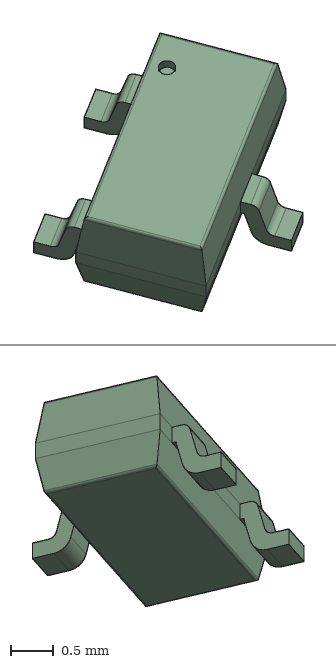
import cadquery as cq
import math

housing_length = 3.0
housing_width = 1.6
housing_bottom = 0.05
housing_top = 1.3
taper_inset = 0.08
rim_radius = 0.035

lead_span = 2.85
lead_thickness = 0.21
lead_width = 0.43
lead_pitch = 0.95
shoulder_top = 0.705
shoulder_length = 0.207
lean_angle = 15.0
bend_radius = 0.105
heel_radius = 0.225

mark_diameter = 0.2
mark_depth = 0.125
mark_x = -0.48
mark_y = lead_pitch

band_top = shoulder_top
band_bottom = shoulder_top - lead_thickness


def tapered_block(base_z, end_z):
    """Frustum from the band outline at base_z to the inset face at end_z."""
    return (
        cq.Workplane("XY", origin=(0, 0, base_z))
        .rect(housing_width, housing_length)
        .workplane(offset=end_z - base_z)
        .rect(housing_width - 2 * taper_inset, housing_length - 2 * taper_inset)
        .loft(ruled=True)
    )


def make_housing():
    band = (
        cq.Workplane("XY", origin=(0, 0, band_bottom))
        .rect(housing_width, housing_length)
        .extrude(lead_thickness)
    )
    body = band.union(tapered_block(band_top, housing_top))
    body = body.union(tapered_block(band_bottom, housing_bottom))
    body = body.faces(">Z or <Z").edges().fillet(rim_radius)
    mark = (
        cq.Workplane("XY", origin=(mark_x, mark_y, housing_top - mark_depth))
        .circle(mark_diameter / 2)
        .extrude(mark_depth)
    )
    return body.cut(mark)


def make_lead(y_center):
    """Gull-wing lead on the +X side, bent from flat strip."""
    root_x = housing_width / 2
    tip_x = lead_span / 2
    lean = math.radians(lean_angle)
    shoulder_x = root_x + shoulder_length
    foot_x = shoulder_x + (shoulder_top - lead_thickness) * math.tan(lean)
    corner_shift = lead_thickness * (1 / math.cos(lean) - math.tan(lean))
    armpit_x = shoulder_x - corner_shift
    heel_x = foot_x - corner_shift

    lead = (
        cq.Workplane("XZ", origin=(0, y_center + lead_width / 2, 0))
        .moveTo(root_x, shoulder_top)
        .lineTo(shoulder_x, shoulder_top)
        .lineTo(foot_x, lead_thickness)
        .lineTo(tip_x, lead_thickness)
        .lineTo(tip_x, 0)
        .lineTo(heel_x, 0)
        .lineTo(armpit_x, shoulder_top - lead_thickness)
        .lineTo(root_x, shoulder_top - lead_thickness)
        .close()
        .extrude(lead_width)
    )

    def bend_edge(x, z):
        return cq.selectors.NearestToPointSelector((x, y_center, z))

    lead = lead.edges(bend_edge(shoulder_x, shoulder_top)).fillet(bend_radius)
    lead = lead.edges(bend_edge(foot_x, lead_thickness)).fillet(bend_radius)
    return lead.edges(bend_edge(heel_x, 0)).fillet(heel_radius)


housing = make_housing()

single_lead = make_lead(0)
paired_leads = [
    make_lead(y_center).rotate((0, 0, 0), (0, 0, 1), 180)
    for y_center in (-lead_pitch, lead_pitch)
]
leads = [single_lead, *paired_leads]

result = cq.Compound.makeCompound([housing.val(), *[lead.val() for lead in leads]])